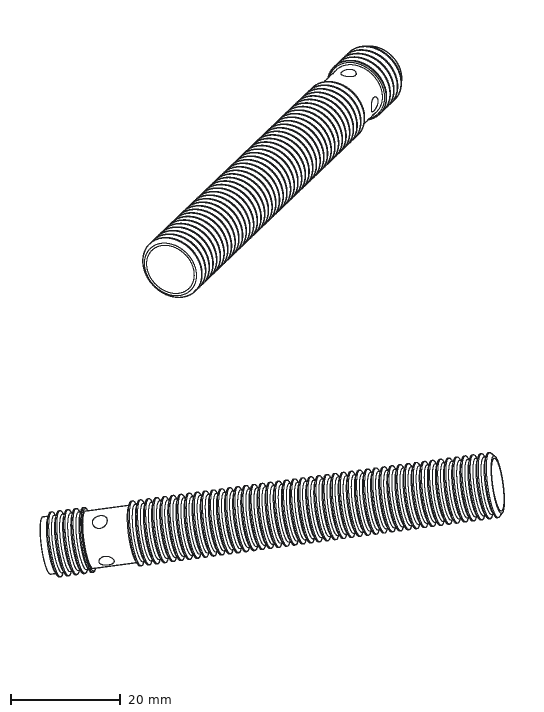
import cadquery as cq

overall_length = 84.51
root_radius = 5.3
crest_radius = 6.0
pitch = 1.52
crest_width = 0.25
flank_width = 0.35
ridge_width = crest_width + 2 * flank_width

cap_radius = 4.85
cap_depth = 1.0

end_disc_length = 1.2

front_ridge_count = 45
end_chamfer = crest_radius - root_radius
front_first_crest = end_chamfer + crest_width / 2

rear_ridge_count = 5
rear_thread_start = 76.5

window_radius = 1.4
window_depth = 1.0
window_count = 4
window_position = 73.3

housing_rear = overall_length - end_disc_length
rear_last_crest = housing_rear - ridge_width / 2
rear_first_crest = rear_last_crest - (rear_ridge_count - 1) * pitch


def cylinder_along_y(radius, start, end):
    """Solid cylinder on the Y axis between two stations."""
    base = cq.Plane(origin=(0, start, 0), xDir=(0, 0, 1), normal=(0, 1, 0))
    return cq.Workplane(base).circle(radius).extrude(end - start)


def ridge_points(crest):
    """Front root, both crest edges and rear root of one tapered thread ridge."""
    return [
        (root_radius, crest - ridge_width / 2),
        (crest_radius, crest - crest_width / 2),
        (crest_radius, crest + crest_width / 2),
        (root_radius, crest + ridge_width / 2),
    ]


def make_housing_blank():
    """Body of revolution carrying both ridged threads and the plain band."""
    outline = [(0, 0), (root_radius, 0), (crest_radius, end_chamfer)]
    outline += ridge_points(front_first_crest)[2:]
    for index in range(1, front_ridge_count):
        outline += ridge_points(front_first_crest + index * pitch)

    cut_fraction = (rear_first_crest - crest_width / 2 - rear_thread_start) / flank_width
    cut_radius = crest_radius - cut_fraction * (crest_radius - root_radius)
    outline += [(root_radius, rear_thread_start), (cut_radius, rear_thread_start)]
    outline += ridge_points(rear_first_crest)[1:]
    for index in range(1, rear_ridge_count):
        outline += ridge_points(rear_first_crest + index * pitch)

    outline.append((0, housing_rear))
    half_section = cq.Plane(origin=(0, 0, 0), xDir=(-1, 0, 0), normal=(0, 0, -1))
    return cq.Workplane(half_section).polyline(outline).close().revolve(360, (0, 0, 0), (0, 1, 0))


def make_window(index):
    """Round window flush with the plain band, turned to its place about Y."""
    plug = (
        cq.Workplane("XY", origin=(0, window_position, root_radius - window_depth))
        .circle(window_radius)
        .extrude(crest_radius - root_radius + window_depth)
    )
    flush_plug = plug.intersect(cylinder_along_y(root_radius, 0, overall_length))
    return flush_plug.rotate((0, 0, 0), (0, 1, 0), index * 360 / window_count)


cap = cylinder_along_y(cap_radius, 0, cap_depth)
end_disc = cylinder_along_y(root_radius, housing_rear, overall_length)
windows = [make_window(index) for index in range(window_count)]

housing = make_housing_blank().cut(cap)
for window in windows:
    housing = housing.cut(window)

result = cq.Compound.makeCompound(
    [housing.val(), cap.val(), end_disc.val(), *[window.val() for window in windows]]
)